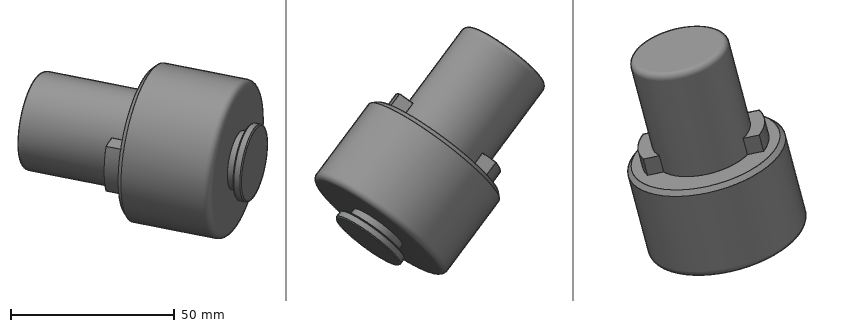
import cadquery as cq

barrel_diameter = 31.0
barrel_length = 36.1
barrel_round = 2.0

collar_diameter = 49.8
collar_length = 30.5
collar_chamfer = 1.45
collar_round = 2.0

neck_diameter = 18.6
neck_length = 2.75
neck_fillet = 0.7

flange_diameter = 24.4
flange_thickness = 2.75
flange_chamfer = 0.4

lug_span = 40.0
lug_width = 16.3
lug_length = 5.8

collar_start = barrel_length
neck_start = collar_start + collar_length
flange_start = neck_start + neck_length


def disc(start, length, diameter):
    """Cylinder on the X axis whose low-X face is at start."""
    return cq.Workplane("YZ", origin=(start, 0, 0)).circle(diameter / 2).extrude(length)


def make_barrel():
    barrel = disc(0, barrel_length, barrel_diameter)
    return barrel.faces("<X").edges().fillet(barrel_round)


def make_collar():
    collar = disc(collar_start, collar_length, collar_diameter)
    collar = collar.faces("<X").edges().chamfer(collar_chamfer)
    return collar.faces(">X").edges().fillet(collar_round)


def make_neck():
    """Neck that flares through a concave fillet into the back of the flange."""
    neck_radius = neck_diameter / 2
    flare_start = flange_start - neck_fillet
    flare_radius = neck_radius + neck_fillet
    profile = (
        cq.Workplane("XY")
        .moveTo(neck_start, 0)
        .lineTo(neck_start, neck_radius)
        .lineTo(flare_start, neck_radius)
        .radiusArc((flange_start, flare_radius), -neck_fillet)
        .lineTo(flange_start, 0)
        .close()
    )
    return profile.revolve(360, (0, 0, 0), (1, 0, 0))


def make_flange():
    flange = disc(flange_start, flange_thickness, flange_diameter)
    return flange.faces("<X or >X").edges().chamfer(flange_chamfer)


def make_lugs():
    """Two opposed lugs on the collar face: a round disc cut to a bar across Y."""
    lug_disc = disc(collar_start - lug_length, lug_length, lug_span)
    bar = cq.Workplane("YZ", origin=(collar_start - lug_length, 0, 0))
    bar = bar.rect(lug_span, lug_width).extrude(lug_length)
    return lug_disc.intersect(bar)


result = make_barrel()
for section in (make_lugs(), make_collar(), make_neck(), make_flange()):
    result = result.union(section)